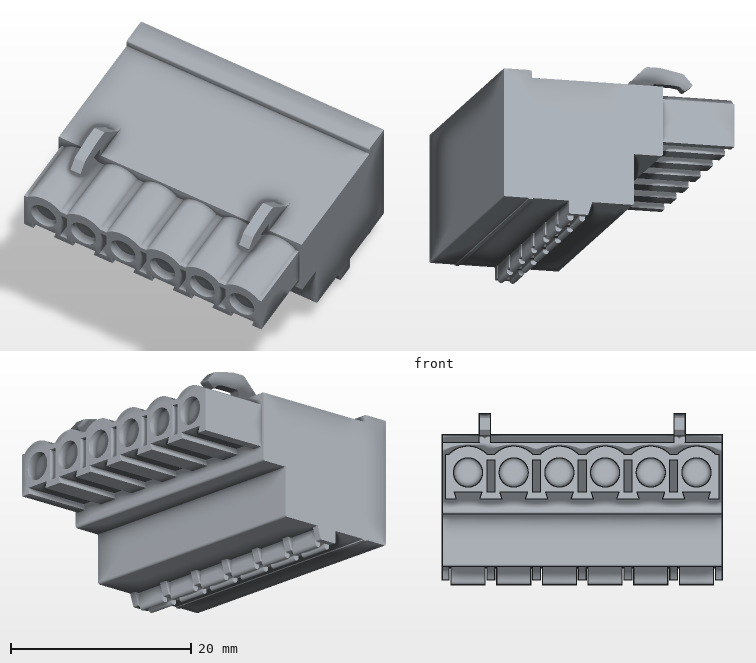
import cadquery as cq
import math


contact_count = 6
pitch = 5.07
contact_x = [(i - (contact_count - 1) / 2) * pitch for i in range(contact_count)]
boundary_x = [(i - contact_count / 2) * pitch for i in range(contact_count + 1)]

width = 31.1
depth = 26.6
plug_length = 8.3
lower_front_y = 11.63
rail_front_y = 23.4
bottom_z = 2.02
step_z = 7.85
deck_z = 15.8
rail_top_z = 16.67
edge_round = 0.25
bottom_back_round = 0.15

plug_width = 30.4
plug_bottom_z = 9.55
shoulder_z = 14.45
contact_z = 12.47
hump_radius = 2.92
opening_radius = 1.62
opening_depth = 1.1
slot_width = 0.9
slot_bottom_z = 10.3
slot_top_z = 13.85
groove_top_width = 3.08
groove_mouth_width = 2.6

clip_x = 10.8
clip_width = 1.28
clip_top_z = 19.0
clip_under_z = 17.1
clip_root_y = 12.32
clip_overlap = 1.25

hanging_overlap = 0.25
hanging_top_z = bottom_z + hanging_overlap
foot_width = 0.9
foot_bottom_z = 0.53
foot_back_y = 19.1
foot_front_y = 16.92
foot_root_y = 16.42
foot_round = 0.15
plate_width = 3.8
plate_thickness = 0.68
plate_y = [17.32, 18.65]
rib_y = 23.48
rib_width = 0.47
rib_height = 0.12


def extrude_across(profile, x_start, x_end):
    """Extrude a closed list of (Y, Z) points from x_start to x_end."""
    return cq.Workplane("YZ", origin=(x_start, 0, 0)).polyline(profile).close().extrude(x_end - x_start)


def box_between(x_range, y_range, z_range):
    sizes = [high - low for low, high in (x_range, y_range, z_range)]
    corner = (x_range[0], y_range[0], z_range[0])
    return cq.Workplane("XY", origin=corner).box(*sizes, centered=False)


def centred(middle, size):
    return (middle - size / 2, middle + size / 2)


def round_edge(solid, x, y, z, radius):
    """Round the edge along X whose middle is at the given point."""
    return solid.edges(cq.selectors.NearestToPointSelector((x, y, z))).fillet(radius)


def make_housing():
    profile = [
        (depth, bottom_z),
        (depth, rail_top_z),
        (rail_front_y, rail_top_z),
        (rail_front_y, deck_z),
        (plug_length, deck_z),
        (plug_length, step_z),
        (lower_front_y, step_z),
        (lower_front_y, bottom_z),
    ]
    housing = extrude_across(profile, -width / 2, width / 2)
    housing = round_edge(housing, 0, rail_front_y, rail_top_z, edge_round)
    housing = round_edge(housing, 0, plug_length, step_z, edge_round)
    housing = round_edge(housing, 0, lower_front_y, bottom_z, edge_round)
    return round_edge(housing, 0, depth, bottom_z, bottom_back_round)


def make_plug():
    plug = box_between(centred(0, plug_width), (0, plug_length), (plug_bottom_z, shoulder_z))
    front = cq.Workplane("XZ")

    hump_half_width = math.sqrt(hump_radius**2 - (shoulder_z - contact_z) ** 2)
    for x in contact_x:
        hump = (
            front.moveTo(x - hump_half_width, shoulder_z)
            .threePointArc((x, contact_z + hump_radius), (x + hump_half_width, shoulder_z))
            .close()
            .extrude(-plug_length)
        )
        plug = plug.union(hump)

    centres = [(x, contact_z) for x in contact_x]
    plug = plug.cut(front.pushPoints(centres).circle(opening_radius).extrude(-opening_depth))

    for x in boundary_x[1:-1]:
        plug = plug.cut(box_between(centred(x, slot_width), (0, plug_length), (slot_bottom_z, slot_top_z)))

    for x in contact_x:
        groove = [
            (x - groove_mouth_width / 2, plug_bottom_z),
            (x - groove_top_width / 2, slot_bottom_z),
            (x + groove_top_width / 2, slot_bottom_z),
            (x + groove_mouth_width / 2, plug_bottom_z),
        ]
        plug = plug.cut(front.polyline(groove).close().extrude(-plug_length))
    return plug


def make_clip(x):
    back_y = clip_root_y + clip_overlap
    crest_y = clip_root_y - (clip_top_z - deck_z)
    corners = [
        (back_y, deck_z - clip_overlap, 0),
        (back_y, deck_z, 0),
        (clip_root_y, deck_z, 1.8),
        (crest_y, clip_top_z, 0.47),
        (7.5, clip_top_z, 3.1),
        (4.82, 18.47, 0.62),
        (3.7, 17.23, 0.15),
        (4.7, 16.45, 0.25),
        (5.22, 16.98, 0),
        (6.03, clip_under_z, 0),
        (plug_length, clip_under_z, 0.25),
        (plug_length, deck_z - clip_overlap, 0),
    ]
    clip = extrude_across([(y, z) for y, z, _ in corners], *centred(x, clip_width))
    for y, z, radius in corners:
        if radius > 0:
            clip = round_edge(clip, x, y, z, radius)
    return clip


def make_foot(x):
    """Narrow tapered foot, kept within the width of the housing."""
    profile = [
        (foot_back_y, hanging_top_z),
        (foot_back_y, foot_bottom_z),
        (foot_front_y, foot_bottom_z),
        (foot_root_y, bottom_z),
        (foot_root_y, hanging_top_z),
    ]
    left, right = centred(x, foot_width)
    left = max(left, -width / 2)
    right = min(right, width / 2)
    foot = extrude_across(profile, left, right)
    middle = (left + right) / 2
    for y in (foot_back_y, foot_front_y):
        foot = round_edge(foot, middle, y, foot_bottom_z, foot_round)
    return foot


def make_plate(x, y):
    """Thin upright plate with a fully rounded lower edge."""
    radius = plate_thickness / 2
    left, right = centred(x, plate_width)
    return (
        cq.Workplane("YZ", origin=(left, 0, 0))
        .moveTo(y - radius, hanging_top_z)
        .lineTo(y - radius, radius)
        .threePointArc((y, 0), (y + radius, radius))
        .lineTo(y + radius, hanging_top_z)
        .close()
        .extrude(right - left)
    )


def make_rib():
    return box_between(centred(0, width), centred(rib_y, rib_width), (bottom_z - rib_height, hanging_top_z))


result = make_housing().union(make_plug()).union(make_rib())

for x in (-clip_x, clip_x):
    result = result.union(make_clip(x))

for x in boundary_x:
    result = result.union(make_foot(x))

for x in contact_x:
    for y in plate_y:
        result = result.union(make_plate(x, y))